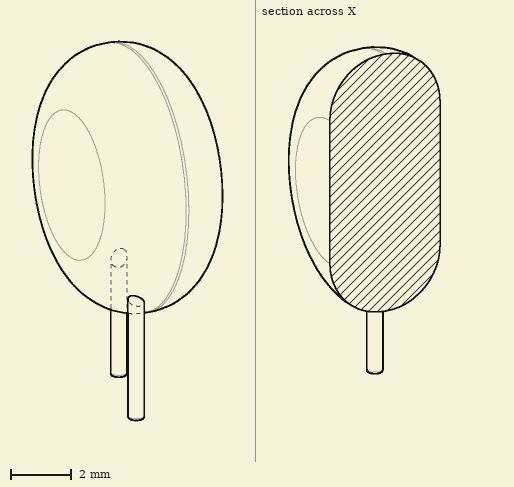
import cadquery as cq

body_diameter = 9.0
body_thickness = 4.1
edge_radius = 2.0
body_clearance = 0.03

lead_diameter = 0.54
lead_length_below_seat = 3.0
lead_spacing_x = 5.0
lead_spacing_y = 1.8
lead_tip_radius = 0.1

body_center_z = body_clearance + body_diameter / 2


def make_body():
    """Round disc with fully rounded rims and a narrow straight band between them."""
    return (
        cq.Workplane("XZ", origin=(0, body_thickness / 2, body_center_z))
        .circle(body_diameter / 2)
        .extrude(body_thickness)
        .faces("<Y or >Y")
        .edges()
        .fillet(edge_radius)
    )


def make_lead(x, y):
    """Round lead with a rounded tip, its upper end buried in the body."""
    return (
        cq.Workplane("XY", origin=(x, y, -lead_length_below_seat))
        .circle(lead_diameter / 2)
        .extrude(lead_length_below_seat + body_center_z)
        .faces("<Z")
        .edges()
        .fillet(lead_tip_radius)
    )


result = make_body()
for side in (-1, 1):
    lead = make_lead(side * lead_spacing_x / 2, -side * lead_spacing_y / 2)
    result = result.union(lead)